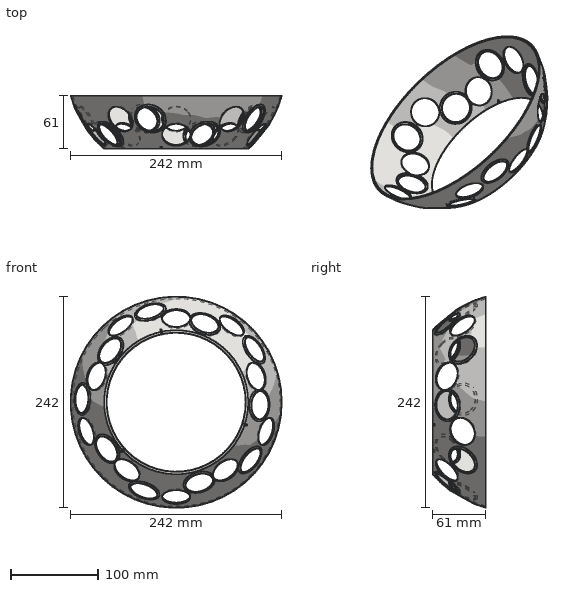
import cadquery as cq
import math

back_radius = 121.0
depth = 61.0
front_radius = 82.5
wall = 2.0

hole_diameter = 32.5
relief_diameter = 37.0
relieved_side = -1
relief_depth = 0.5
group_count = 5
pair_half_spread = 10.0
front_row_latitude = 39.2
back_row_latitude = 29.2
front_row_pair_angle = 80.0
back_row_pair_angle = 44.0

pin_diameter = 2.0
pin_count = 3
pin_first_angle = 102.0
pin_setback = 1.5

center_y = (back_radius**2 - front_radius**2 - depth**2) / (2 * depth)
outer_radius = math.hypot(back_radius, center_y)
inner_radius = outer_radius - wall
sphere_center = cq.Vector(0, center_y, 0)

relief_floor = math.sqrt(inner_radius**2 - (hole_diameter / 2)**2) + relief_depth


def radial_direction(angle, latitude=0.0):
    """Unit vector at an angle from +X toward +Z, tilted toward -Y by the latitude."""
    a = math.radians(angle)
    b = math.radians(latitude)
    return cq.Vector(math.cos(b) * math.cos(a), -math.sin(b), math.cos(b) * math.sin(a))


def drill(diameter, origin, direction, length=outer_radius + wall):
    """Cylinder running outward from a point on the ring axis, by default through the wall."""
    return cq.Solid.makeCylinder(diameter / 2, length, origin, direction)


def make_shell():
    """Revolve the arched wall section about the Y axis."""
    def section_point(radius, y):
        return (math.sqrt(radius**2 - (y - center_y)**2), y)

    middle_y = -depth / 2
    return (
        cq.Workplane("XY")
        .moveTo(*section_point(outer_radius, 0))
        .threePointArc(section_point(outer_radius, middle_y), section_point(outer_radius, -depth))
        .lineTo(*section_point(inner_radius, -depth))
        .threePointArc(section_point(inner_radius, middle_y), section_point(inner_radius, 0))
        .close()
        .revolve(360, (0, 0, 0), (0, 1, 0))
    )


def large_hole_cutters():
    """Pairs of holes alternating between the front and back rows."""
    rows = (
        (front_row_pair_angle, front_row_latitude),
        (back_row_pair_angle, back_row_latitude),
    )
    cutters = []
    for group in range(group_count):
        for pair_angle, latitude in rows:
            for side in (-1, 1):
                angle = pair_angle + side * pair_half_spread + group * 360 / group_count
                direction = radial_direction(angle, latitude)
                cutters.append(drill(hole_diameter, sphere_center, direction))
                if side == relieved_side:
                    cutters.append(drill(relief_diameter, sphere_center, direction, relief_floor))
    return cutters


def pin_hole_cutters():
    """Equally spaced pin holes, square to the ring axis."""
    origin = cq.Vector(0, pin_setback - depth, 0)
    cutters = []
    for index in range(pin_count):
        angle = pin_first_angle + index * 360 / pin_count
        cutters.append(drill(pin_diameter, origin, radial_direction(angle)))
    return cutters


result = make_shell()
for cutter in large_hole_cutters() + pin_hole_cutters():
    result = result.cut(cq.Workplane(cutter))